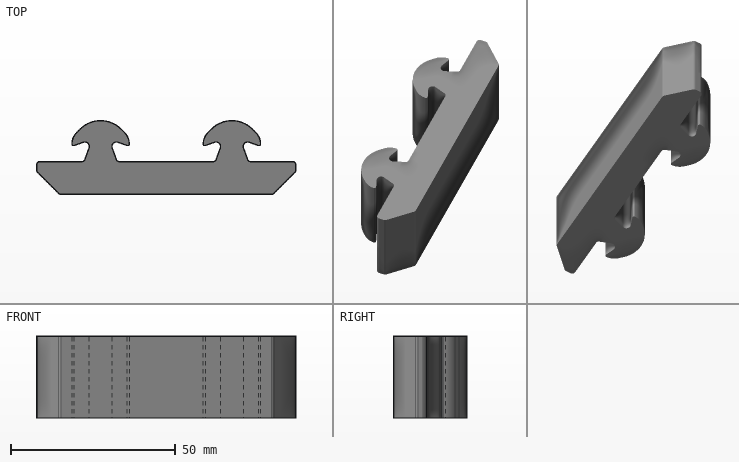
import cadquery as cq
import math

length = 79.0
height = 25.0
bar_depth = 10.0
bevel = 7.0
bar_corner_radius = 1.0

overall_depth = 22.5
hook_spacing = 40.0
hook_half_width = 8.8
stem_foot_radius = 0.8
stem_lean = math.radians(20)
throat_radius = 1.35
throat_x = 4.8
throat_y = 14.6
lip_y = 14.85
shoulder_radius = 5.0
shoulder_y = 15.3


def point_on_arc(x, y, radius, angle):
    """Point on a circle centred at (x, y), angle in radians from +X."""
    return x + radius * math.cos(angle), y + radius * math.sin(angle)


def make_bar():
    bar = cq.Workplane("XY").box(length, bar_depth, height, centered=(True, False, False))
    bar = bar.edges("|Z and <Y").chamfer(bevel)
    return bar.edges("|Z").fillet(bar_corner_radius)


def make_hook(center_x):
    stem_top = point_on_arc(throat_x, throat_y, throat_radius, math.pi + stem_lean)
    stem_foot_x = stem_top[0] + (stem_top[1] - bar_depth) * math.tan(stem_lean)

    throat_middle = point_on_arc(throat_x, throat_y, throat_radius, math.radians(125))
    throat_end = point_on_arc(throat_x, throat_y, throat_radius, math.pi / 2 - stem_lean)
    lip_start_x = throat_end[0] + (throat_end[1] - lip_y) / math.tan(stem_lean)

    lip_radius = shoulder_y - lip_y
    lip_x = hook_half_width - lip_radius
    lip_middle = point_on_arc(lip_x, shoulder_y, lip_radius, -math.pi / 4)

    shoulder_x = hook_half_width - shoulder_radius
    shoulder_middle = point_on_arc(shoulder_x, shoulder_y, shoulder_radius, math.pi / 8)
    shoulder_end = point_on_arc(shoulder_x, shoulder_y, shoulder_radius, math.pi / 4)
    crown_radius = (sum(shoulder_end) - overall_depth) / (math.sqrt(2) - 1)
    crown_start = point_on_arc(0, overall_depth - crown_radius, crown_radius, math.pi / 4)
    crown_middle = point_on_arc(0, overall_depth - crown_radius, crown_radius, 3 * math.pi / 8)

    half = (
        cq.Workplane("XY")
        .moveTo(0, bar_depth / 2)
        .lineTo(stem_foot_x, bar_depth / 2)
        .lineTo(stem_foot_x, bar_depth)
        .lineTo(*stem_top)
        .threePointArc(throat_middle, throat_end)
        .lineTo(lip_start_x, lip_y)
        .lineTo(lip_x, lip_y)
        .threePointArc(lip_middle, (hook_half_width, shoulder_y))
        .threePointArc(shoulder_middle, shoulder_end)
        .lineTo(*crown_start)
        .threePointArc(crown_middle, (0, overall_depth))
        .close()
        .extrude(height)
    )
    hook = half.union(half.mirror("YZ"))
    foot_xs = [center_x - stem_foot_x, center_x + stem_foot_x]
    return hook.translate((center_x, 0, 0)), foot_xs


result = make_bar()
foot_positions = []
for hook_x in (-hook_spacing / 2, hook_spacing / 2):
    hook, foot_xs = make_hook(hook_x)
    result = result.union(hook)
    foot_positions += foot_xs
result = result.clean()

for foot_x in foot_positions:
    foot_edge = cq.selectors.NearestToPointSelector((foot_x, bar_depth, height / 2))
    result = result.edges(foot_edge).fillet(stem_foot_radius)